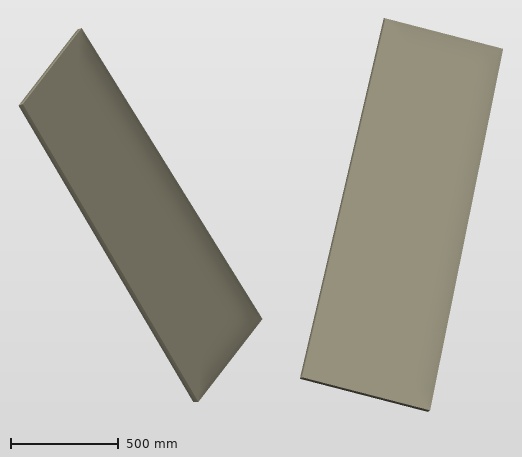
import cadquery as cq
import math

length_x = 942.0
width_bottom = 640.0
height = 1497.0

top_end_run = 22.0
top_end_rise = 20.0
bottom_end_run = 27.0
bottom_end_rise = 12.0

width_taper = 52.0

lower_face_top = (0, height - top_end_rise)
upper_face_top = (top_end_run, height)
upper_face_bottom = (length_x, bottom_end_rise)
lower_face_bottom = (length_x - bottom_end_run, 0)

lean = math.atan2(upper_face_bottom[0] - upper_face_top[0], upper_face_top[1] - upper_face_bottom[1])


def distance_down_slope(point):
    """Distance of an XZ point from the origin, measured down the plate."""
    x, z = point
    return x * math.sin(lean) - z * math.cos(lean)


def make_plate():
    """Full-width plate with its straight edge on Y = 0."""
    section = [lower_face_top, upper_face_top, upper_face_bottom, lower_face_bottom]
    return cq.Workplane("XZ").polyline(section).close().extrude(-width_bottom)


def make_taper_cutter():
    """Wedge square to the plate faces that narrows the plate towards the top."""
    slope_top = distance_down_slope(upper_face_top)
    slope_bottom = max(distance_down_slope(upper_face_bottom), distance_down_slope(lower_face_bottom))
    down_slope = cq.Vector(math.sin(lean), 0, -math.cos(lean))
    plate_normal = cq.Vector(math.cos(lean), 0, math.sin(lean))
    plane = cq.Plane(origin=(0, 0, 0), xDir=down_slope, normal=plate_normal)
    wedge = [
        (slope_top, width_bottom - width_taper),
        (slope_bottom, width_bottom),
        (slope_top, width_bottom),
    ]
    y_sign = plane.yDir.y
    outline = [(along, y_sign * across) for along, across in wedge]
    return cq.Workplane(plane).polyline(outline).close().extrude(height, both=True)


result = make_plate().cut(make_taper_cutter())